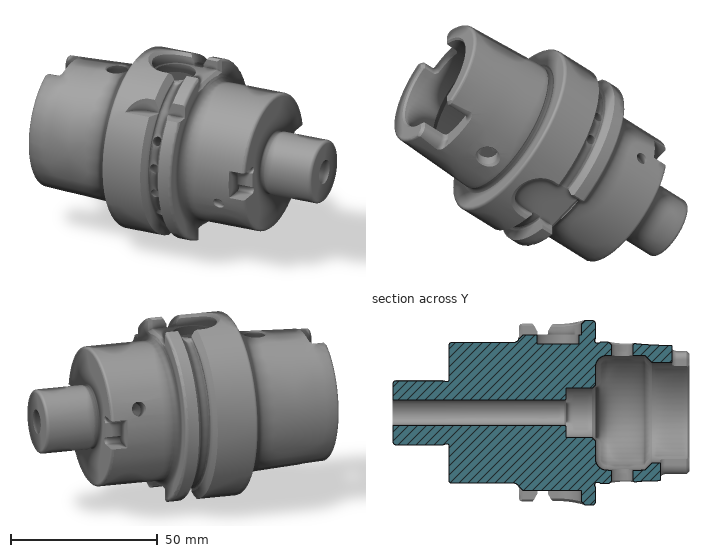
import cadquery as cq
import math


shank_length = 32.0
taper_ratio = 0.0998
gauge_radius = 24.0
gauge_x = -6.3
shank_end_round = 1.0
relief_start_x = -1.7
relief_floor_x = -1.2
relief_radius = 23.8
relief_depth_in_face = 0.3
relief_round = 0.9
relief_face_radius = 25.3

flange_radius = 31.5
flange_width = 26.0
flange_round = 1.0
groove_center_x = 17.95
groove_floor_width = 3.5
groove_radius = 27.5
groove_flank_radius = 28.7
groove_flank_angle = 30.0
groove_corner_round = 0.4

nose_radius = 24.0
nose_end_x = 50.0
nose_root_round = 2.0
nose_end_round = 1.0
pilot_radius = 11.0
pilot_length = 19.0
pilot_end_x = nose_end_x + pilot_length
pilot_round = 1.0
pilot_neck_radius = 10.75
pilot_neck_end_x = 51.9
pilot_neck_slope = 0.8
pilot_root_round = 0.4

mouth_radius = 17.0
mouth_chamfer = 0.6
land_length = 12.7
clamp_radius = 19.5
clamp_angle = 45.0
bore_floor_x = 0.0
bore_floor_round = 3.9
seat_radius = 8.4
seat_depth = 10.0
seat_chamfer = 1.1
screw_radius = 4.2
screw_chamfer = 0.5

notch_half_width = 6.25
notch_flare_radius = 3.0
notch_flare_z = 18.0
notch_end_round = 1.5
notch_mouth_chamfer = 0.9
notch_depth_top = 5.9
notch_depth_bottom = 9.8
notch_inner_z = 8.0
notch_outer_z = 30.0
notch_outer_half_width = 16.0

shank_hole_x = -9.1
shank_hole_radius = 3.6
shank_hole_chamfer = 0.7
sink_reach = 1.0

pocket_x = 12.8
pocket_radius = 8.0
pocket_floor_z = 26.5
flange_pocket_chamfer = 1.2
collar_pocket_chamfer = 0.9
pocket_exit_chamfer = 1.2
chip_hole_radius = 7.0
chip_hole_depth = 3.0

orient_radius = 8.0
orient_wall_y = -19.9
orient_floor_z = 19.85

balance_hole_radius = 1.6
balance_hole_depth = 12.0
balance_angles = (25, 5, -15, -35)
drill_half_angle = 59.0

driver_half_width = 5.0
driver_length = 5.6
driver_floor_y = 17.0
driver_relief_radius = 1.25
nose_hole_x = 39.9
nose_hole_angle = -20.0
nose_hole_front_radius = 2.0
nose_hole_pilot_radius = 1.2
nose_hole_step_depth = 3.0
nose_hole_back_radius = 2.5
nose_hole_depth = 6.0

clearance = 5.0


def taper_radius(x):
    return gauge_radius + (x - gauge_x) * taper_ratio / 2


def revolve_about_x(profile):
    return profile.close().revolve(360, (0, 0, 0), (1, 0, 0))


def flange_slice(x_start, x_end, edge_chamfer):
    """Length of plain flange with both gripper pockets cut and their rims chamfered."""
    body = cq.Workplane("YZ").workplane(offset=x_start).circle(flange_radius).extrude(x_end - x_start)
    slot_end_x = flange_width + clearance
    height = flange_radius + clearance - pocket_floor_z
    slot = (
        cq.Workplane("XY")
        .workplane(offset=pocket_floor_z)
        .moveTo(pocket_x, pocket_radius)
        .threePointArc((pocket_x - pocket_radius, 0), (pocket_x, -pocket_radius))
        .lineTo(slot_end_x, -pocket_radius)
        .lineTo(slot_end_x, pocket_radius)
        .close()
        .extrude(height)
    )
    body = body.cut(slot).cut(slot.rotate((0, 0, 0), (1, 0, 0), 180))
    rim_low = math.sqrt(flange_radius ** 2 - pocket_radius ** 2)
    margin = 0.1
    for side in (1, -1):
        rim_box = cq.selectors.BoxSelector(
            (x_start + margin, -pocket_radius - margin, side * (rim_low - margin)),
            (x_end - margin, pocket_radius + margin, side * (flange_radius + margin)),
            boundingbox=False,
        )
        body = body.edges(rim_box).chamfer(edge_chamfer)
    return body


def flange_outline():
    """Revolved envelope of the flange with rounded outer corners."""
    return (
        cq.Workplane("YZ").circle(flange_radius).extrude(flange_width)
        .faces("<X or >X").edges().fillet(flange_round)
    )


def gripper_groove():
    half = groove_floor_width / 2
    top = flange_radius + clearance
    mouth_half = half + (top - groove_flank_radius) * math.tan(math.radians(groove_flank_angle))
    left = groove_center_x - half
    right = groove_center_x + half
    ring = revolve_about_x(
        cq.Workplane("XY")
        .moveTo(left, groove_radius)
        .lineTo(right, groove_radius)
        .lineTo(right, groove_flank_radius)
        .lineTo(groove_center_x + mouth_half, top)
        .lineTo(groove_center_x - mouth_half, top)
        .lineTo(left, groove_flank_radius)
    )
    floor_edges = cq.selectors.RadiusNthSelector(0)
    return ring.edges(floor_edges).fillet(groove_corner_round)


def pocket_exit_bevel():
    """Bevel around the floor and walls where the pocket runs out through the collar end face."""
    top_z = flange_radius + clearance

    def section(plane_x, growth):
        half = pocket_radius + growth
        floor_z = pocket_floor_z - growth
        outline = (
            cq.Workplane("YZ").workplane(offset=plane_x)
            .moveTo(-half, floor_z)
            .lineTo(half, floor_z)
            .lineTo(half, top_z)
            .lineTo(-half, top_z)
            .close()
        )
        return outline.val()

    inner = section(flange_width - pocket_exit_chamfer, 0)
    outer = section(flange_width, pocket_exit_chamfer)
    return cq.Workplane(cq.Solid.makeLoft([inner, outer], True))


def make_flange():
    groove_side = flange_slice(0, groove_center_x, flange_pocket_chamfer)
    collar_side = flange_slice(groove_center_x, flange_width, collar_pocket_chamfer)
    flange = groove_side.union(collar_side).intersect(flange_outline()).cut(gripper_groove())
    chip_hole = (
        cq.Workplane("XY")
        .workplane(offset=pocket_floor_z - chip_hole_depth)
        .center(pocket_x, 0)
        .circle(chip_hole_radius)
        .extrude(chip_hole_depth + clearance)
    )
    bevel = pocket_exit_bevel()
    flange = flange.cut(chip_hole).cut(bevel).cut(bevel.rotate((0, 0, 0), (1, 0, 0), 180))
    return flange.cut(orientation_notch())


def orientation_notch():
    center_y = orient_wall_y - orient_radius
    slot_end_x = flange_width + clearance
    return (
        cq.Workplane("XY")
        .workplane(offset=orient_floor_z)
        .moveTo(slot_end_x, orient_wall_y)
        .lineTo(pocket_x, orient_wall_y)
        .threePointArc((pocket_x - orient_radius, center_y), (pocket_x, center_y - orient_radius))
        .lineTo(slot_end_x, center_y - orient_radius)
        .close()
        .extrude(flange_radius)
    )


def make_shank():
    """Hollow-shank taper, necked at its root and blended by an arc into the face relief."""
    relief_mid = relief_round * (1 - math.sqrt(0.5))
    body = revolve_about_x(
        cq.Workplane("XY")
        .moveTo(-shank_length, 0)
        .lineTo(-shank_length, taper_radius(-shank_length))
        .lineTo(relief_start_x, taper_radius(relief_start_x))
        .lineTo(relief_floor_x, relief_radius)
        .lineTo(relief_depth_in_face - relief_round, relief_radius)
        .threePointArc(
            (relief_depth_in_face - relief_mid, relief_radius + relief_mid),
            (relief_depth_in_face, relief_radius + relief_round),
        )
        .lineTo(relief_depth_in_face, 0)
    )
    return body.faces("<X").edges().fillet(shank_end_round)


def face_relief():
    """Shallow undercut in the contact face around the shank root."""
    return revolve_about_x(
        cq.Workplane("XY")
        .moveTo(0, relief_radius)
        .lineTo(0, relief_face_radius)
        .lineTo(relief_depth_in_face, relief_radius + relief_round)
        .lineTo(relief_depth_in_face, relief_radius)
    )


def make_nose():
    """Nose cylinder with its root fillet, and the pilot with its necked root."""
    root_radius = nose_radius + nose_root_round
    root_mid = nose_root_round * (1 - math.sqrt(0.5))
    nose = revolve_about_x(
        cq.Workplane("XY")
        .moveTo(flange_width, 0)
        .lineTo(flange_width, root_radius)
        .threePointArc(
            (flange_width + root_mid, nose_radius + root_mid),
            (flange_width + nose_root_round, nose_radius),
        )
        .lineTo(nose_end_x, nose_radius)
        .lineTo(nose_end_x, 0)
    )
    nose = nose.faces(">X").edges().fillet(nose_end_round)
    pilot_root_mid = pilot_root_round * (1 - math.sqrt(0.5))
    pilot = revolve_about_x(
        cq.Workplane("XY")
        .moveTo(nose_end_x, 0)
        .lineTo(nose_end_x, pilot_neck_radius + pilot_root_round)
        .threePointArc(
            (nose_end_x + pilot_root_mid, pilot_neck_radius + pilot_root_mid),
            (nose_end_x + pilot_root_round, pilot_neck_radius),
        )
        .lineTo(pilot_neck_end_x - pilot_neck_slope, pilot_neck_radius)
        .lineTo(pilot_neck_end_x, pilot_radius)
        .lineTo(pilot_end_x, pilot_radius)
        .lineTo(pilot_end_x, 0)
    )
    pilot = pilot.faces(">X").edges().fillet(pilot_round)
    return nose.union(pilot)


def internal_bores():
    mouth_x = -shank_length
    land_end_x = mouth_x + land_length
    clamp_run = (clamp_radius - mouth_radius) / math.tan(math.radians(clamp_angle))
    floor_mid = bore_floor_round * (1 - math.sqrt(0.5))
    seat_floor_x = bore_floor_x + seat_depth
    return revolve_about_x(
        cq.Workplane("XY")
        .moveTo(mouth_x, 0)
        .lineTo(mouth_x, mouth_radius + mouth_chamfer)
        .lineTo(mouth_x + mouth_chamfer, mouth_radius)
        .lineTo(land_end_x, mouth_radius)
        .lineTo(land_end_x + clamp_run, clamp_radius)
        .lineTo(bore_floor_x - bore_floor_round, clamp_radius)
        .threePointArc(
            (bore_floor_x - floor_mid, clamp_radius - floor_mid),
            (bore_floor_x, clamp_radius - bore_floor_round),
        )
        .lineTo(bore_floor_x, seat_radius + seat_chamfer)
        .lineTo(bore_floor_x + seat_chamfer, seat_radius)
        .lineTo(seat_floor_x, seat_radius)
        .lineTo(seat_floor_x, screw_radius + screw_chamfer)
        .lineTo(seat_floor_x + screw_chamfer, screw_radius)
        .lineTo(pilot_end_x, screw_radius)
        .lineTo(pilot_end_x, 0)
    )


def notch_outline(plane_x, growth):
    """Notch cross-section, widened by `growth`: straight walls that flare outward on an arc."""
    half = notch_half_width + growth
    flare = notch_flare_radius - growth
    flare_center_y = notch_half_width + notch_flare_radius
    shoulder_z = notch_flare_z + flare
    mid_y = flare_center_y - flare * math.sqrt(0.5)
    mid_z = notch_flare_z + flare * math.sqrt(0.5)
    return (
        cq.Workplane("YZ")
        .workplane(offset=plane_x)
        .moveTo(-half, notch_inner_z)
        .lineTo(half, notch_inner_z)
        .lineTo(half, notch_flare_z)
        .threePointArc((mid_y, mid_z), (flare_center_y, shoulder_z))
        .lineTo(notch_outer_half_width, shoulder_z)
        .lineTo(notch_outer_half_width, notch_outer_z)
        .lineTo(-notch_outer_half_width, notch_outer_z)
        .lineTo(-notch_outer_half_width, shoulder_z)
        .lineTo(-flare_center_y, shoulder_z)
        .threePointArc((-mid_y, mid_z), (-half, notch_flare_z))
        .close()
    )


def drive_notch(depth):
    """Notch cutter on the +Z side, with a rounded inner end and a chamfered mouth."""
    mouth_x = -shank_length
    slot = notch_outline(mouth_x, 0).extrude(depth)
    slot = slot.faces(">X").edges().fillet(notch_end_round)
    mouth_wire = notch_outline(mouth_x, notch_mouth_chamfer).val()
    inner_wire = notch_outline(mouth_x + notch_mouth_chamfer, 0).val()
    mouth = cq.Solid.makeLoft([mouth_wire, inner_wire], True)
    return slot.union(cq.Workplane(mouth))


def shank_cross_hole():
    """Hole through both shank walls along Z, countersunk at the outer surface."""
    reach = gauge_radius + clearance
    hole = (
        cq.Workplane("XY").workplane(offset=-reach).center(shank_hole_x, 0)
        .circle(shank_hole_radius).extrude(2 * reach)
    )
    surface_z = taper_radius(shank_hole_x)
    sink_radius = shank_hole_radius + shank_hole_chamfer
    for side in (1, -1):
        sink = cq.Solid.makeCone(
            shank_hole_radius,
            sink_radius + sink_reach,
            shank_hole_chamfer + sink_reach,
            cq.Vector(shank_hole_x, 0, side * (surface_z - shank_hole_chamfer)),
            cq.Vector(0, 0, side),
        )
        hole = hole.union(cq.Workplane(sink))
    return hole


def radial_drill(x, angle, radius, surface_radius, depth):
    """Drilled hole with a conical tip, aimed at the axis; angle is measured from -Y toward +Z."""
    outward = cq.Vector(0, -math.cos(math.radians(angle)), math.sin(math.radians(angle)))
    start = cq.Vector(x, 0, 0) + outward * (surface_radius + clearance)
    length = depth + clearance
    shaft = cq.Solid.makeCylinder(radius, length, start, outward * -1)
    tip_height = radius / math.tan(math.radians(drill_half_angle))
    tip_start = cq.Vector(x, 0, 0) + outward * (surface_radius - depth)
    tip = cq.Solid.makeCone(radius, 0, tip_height, tip_start, outward * -1)
    return cq.Workplane(shaft).union(cq.Workplane(tip))


def driver_slot():
    """Slot for a drive key on the -Y side of the nose end, with round relief channels in its corners."""
    depth = nose_radius + clearance - driver_floor_y
    start_x = nose_end_x - driver_length
    slot = (
        cq.Workplane("XY")
        .box(driver_length, depth, 2 * driver_half_width, centered=(False, False, True))
        .translate((start_x, -driver_floor_y - depth, 0))
    )
    channel_z = driver_half_width - driver_relief_radius
    channels = (
        cq.Workplane("YZ").workplane(offset=start_x)
        .pushPoints([(-driver_floor_y, channel_z), (-driver_floor_y, -channel_z)])
        .circle(driver_relief_radius).extrude(driver_length)
    )
    return slot.union(channels)


holder = make_flange().cut(face_relief()).union(make_shank()).union(make_nose())
holder = holder.cut(internal_bores())

holder = holder.cut(drive_notch(notch_depth_top))
holder = holder.cut(drive_notch(notch_depth_bottom).rotate((0, 0, 0), (1, 0, 0), 180))
holder = holder.cut(shank_cross_hole())

for balance_angle in balance_angles:
    holder = holder.cut(
        radial_drill(groove_center_x, balance_angle, balance_hole_radius, groove_radius, balance_hole_depth)
    )

for slot_turn in (0, 180):
    holder = holder.cut(driver_slot().rotate((0, 0, 0), (1, 0, 0), slot_turn))

nose_holes = (
    (nose_hole_angle, nose_hole_front_radius, nose_hole_step_depth),
    (nose_hole_angle, nose_hole_pilot_radius, nose_hole_depth),
    (nose_hole_angle + 180, nose_hole_back_radius, nose_hole_depth),
)
for hole_angle, hole_radius, hole_depth in nose_holes:
    holder = holder.cut(radial_drill(nose_hole_x, hole_angle, hole_radius, nose_radius, hole_depth))

result = holder